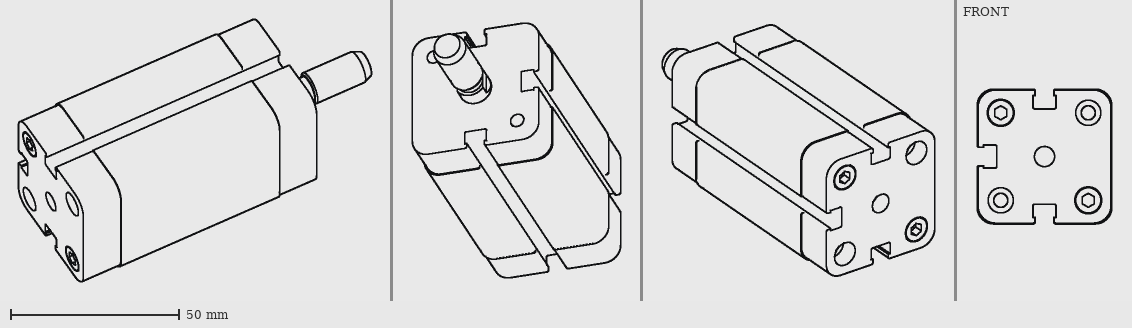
import cadquery as cq
import math


OVERALL_LENGTH = 107.0
CUT_MARGIN = 1.0

TUBE_SIZE = 40.1
CAP_SIZE = 39.5
CORNER_RADIUS = 5.1
CAP_LENGTH = 12.7
TUBE_LENGTH = 54.1
HOUSING_LENGTH = TUBE_LENGTH + 2 * CAP_LENGTH

SLOT_MOUTH_WIDTH = 5.5
SLOT_INNER_WIDTH = 6.8
SLOT_FLOOR = 14.2
SLOT_LIP_INNER = 18.1
SLOT_MOUTH_ROUND = 0.65
SLOT_FLOOR_ROUND = 0.5
SLOT_ANGLES = (0, 90, 180)

BOLT_OFFSET = 13.0
THROUGH_DIAMETER = 4.13
COUNTERBORE_DIAMETER = 7.5
COUNTERBORE_DEPTH = 6.0
SCREW_POCKET_DIAMETER = 8.0
SCREW_HEAD_DIAMETER = 7.5
SCREW_HEAD_HEIGHT = 4.0
HEXAGON_SIDES = 6
SOCKET_WIDTH = 3.6
SOCKET_DEPTH = 3.0

CENTRE_HOLE_DIAMETER = 6.0
CENTRE_HOLE_DEPTH = 6.0

ROD_DIAMETER = 10.0
NECK_DIAMETER = 8.0
TIP_DIAMETER = 8.0
ROD_LENGTH = OVERALL_LENGTH - HOUSING_LENGTH
NECK_START = 5.2
NECK_END = 8.1
THREAD_CHAMFER = 0.5
TIP_TAPER_LENGTH = 2.6
FLAT_WIDTH = 8.0
FLAT_START = 1.8


def square_bar(size, start, length):
    """Round-cornered square bar along Y, centred on the axis."""
    bar = cq.Workplane("XY").box(size, length, size).edges("|Y").fillet(CORNER_RADIUS)
    return bar.translate((0, start + length / 2, 0))


def slot_cutter(size, start, length):
    """Undercut slot in the top of a bar, with a rounded mouth and floor corners."""
    half_mouth = SLOT_MOUTH_WIDTH / 2
    half_inner = SLOT_INNER_WIDTH / 2
    top = size / 2
    clear = top + CUT_MARGIN
    round_end = half_mouth + SLOT_MOUTH_ROUND
    floor_end = half_inner - SLOT_FLOOR_ROUND
    floor_tangent = SLOT_FLOOR + SLOT_FLOOR_ROUND
    half = (
        cq.Workplane("XZ")
        .moveTo(0, SLOT_FLOOR)
        .lineTo(floor_end, SLOT_FLOOR)
        .radiusArc((half_inner, floor_tangent), -SLOT_FLOOR_ROUND)
        .lineTo(half_inner, SLOT_LIP_INNER)
        .lineTo(half_mouth, SLOT_LIP_INNER)
        .lineTo(half_mouth, top - SLOT_MOUTH_ROUND)
        .radiusArc((round_end, top), SLOT_MOUTH_ROUND)
        .lineTo(round_end, clear)
        .lineTo(0, clear)
        .close()
        .extrude(-length)
        .translate((0, start, 0))
    )
    return half.union(half.mirror("YZ"))


def housing_section(size, start, length):
    """One length of the housing with its three sensor slots."""
    section = square_bar(size, start, length)
    cutter = slot_cutter(size, start, length)
    for angle in SLOT_ANGLES:
        section = section.cut(cutter.rotate((0, 0, 0), (0, 1, 0), -angle))
    return section


def cylinder_along_y(diameter, start, length, x=0, z=0):
    """Cylinder running in +Y from the given start."""
    return cq.Workplane("XZ", origin=(x, start, z)).circle(diameter / 2).extrude(-length)


def counterbored_hole(x, z):
    """Hole through the whole housing, counterbored from the rear face."""
    hole = cylinder_along_y(THROUGH_DIAMETER, 0, HOUSING_LENGTH, x, z)
    return hole.union(cylinder_along_y(COUNTERBORE_DIAMETER, 0, COUNTERBORE_DEPTH, x, z))


def screw_gap(x, z):
    """Narrow ring gap around a cap-screw head that sits flush in its counterbore."""
    pocket = cylinder_along_y(SCREW_POCKET_DIAMETER, 0, SCREW_HEAD_HEIGHT, x, z)
    return pocket.cut(cylinder_along_y(SCREW_HEAD_DIAMETER, 0, SCREW_HEAD_HEIGHT, x, z))


def screw_socket(x, z):
    """Hexagonal socket with two flats parallel to Z."""
    half_side_angle = 180 / HEXAGON_SIDES
    across_corners = SOCKET_WIDTH / math.cos(math.radians(half_side_angle))
    socket = cq.Workplane("XZ").polygon(HEXAGON_SIDES, across_corners).extrude(-SOCKET_DEPTH)
    return socket.rotate((0, 0, 0), (0, 1, 0), half_side_angle).translate((x, 0, z))


def flat_cutter():
    """Material beside the +X wrench flat, ending in a 45 degree run-out."""
    half_flat = FLAT_WIDTH / 2
    run_out = ROD_DIAMETER / 2 - half_flat + CUT_MARGIN
    return (
        cq.Workplane("XY")
        .moveTo(half_flat, FLAT_START)
        .lineTo(half_flat, NECK_START)
        .lineTo(half_flat + run_out, NECK_START)
        .lineTo(half_flat + run_out, FLAT_START - run_out)
        .close()
        .extrude(ROD_DIAMETER / 2, both=True)
    )


def piston_rod():
    """Turned rod with a neck, a chamfered threaded end and two wrench flats."""
    rod_radius = ROD_DIAMETER / 2
    neck_radius = NECK_DIAMETER / 2
    rod = (
        cq.Workplane("XY")
        .moveTo(0, 0)
        .lineTo(rod_radius, 0)
        .lineTo(rod_radius, NECK_START)
        .lineTo(neck_radius, NECK_START)
        .lineTo(neck_radius, NECK_END)
        .lineTo(rod_radius - THREAD_CHAMFER, NECK_END)
        .lineTo(rod_radius, NECK_END + THREAD_CHAMFER)
        .lineTo(rod_radius, ROD_LENGTH - TIP_TAPER_LENGTH)
        .lineTo(TIP_DIAMETER / 2, ROD_LENGTH)
        .lineTo(0, ROD_LENGTH)
        .close()
        .revolve(360, (0, 0, 0), (0, 1, 0))
    )
    flat = flat_cutter()
    rod = rod.cut(flat).cut(flat.mirror("YZ"))
    return rod.translate((0, HOUSING_LENGTH, 0))


body = housing_section(CAP_SIZE, 0, CAP_LENGTH)
body = body.union(housing_section(TUBE_SIZE, CAP_LENGTH, TUBE_LENGTH))
body = body.union(housing_section(CAP_SIZE, CAP_LENGTH + TUBE_LENGTH, CAP_LENGTH))
body = body.union(piston_rod())
body = body.cut(cylinder_along_y(CENTRE_HOLE_DIAMETER, 0, CENTRE_HOLE_DEPTH))

for side in (-1, 1):
    offset = side * BOLT_OFFSET
    body = body.cut(counterbored_hole(offset, offset))
    body = body.cut(screw_gap(offset, -offset)).cut(screw_socket(offset, -offset))

result = body